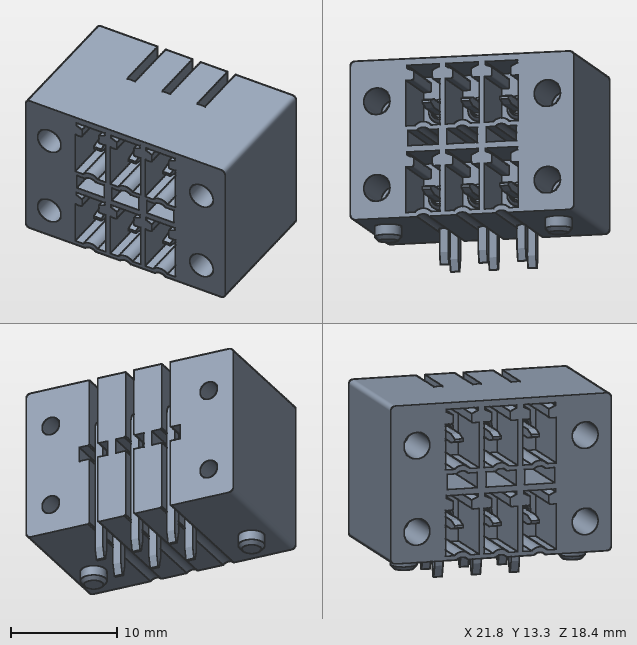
import cadquery as cq
import math


housing_width = 21.82
housing_depth = 13.3
housing_height = 15.2
corner_radius = 0.48

columns = 3
pitch = 3.82
row_spacing = 8.31
lower_row_z = 2.95
column_numbers = [i - (columns - 1) / 2 for i in range(columns)]
column_xs = [n * pitch for n in column_numbers]
row_zs = [lower_row_z, lower_row_z + row_spacing]

wall = 0.44
pocket_depth = 6.55
pocket_half_width = 1.65
pocket_floor = wall - lower_row_z
shoulder_height = 1.88
neck_half_width = 0.92
neck_top = 2.75
neck_round = 0.15
head_half_width = 1.57
head_bottom = 3.05
pocket_top = 3.32

rib_half_width = 0.79
rib_height = 0.35
groove_half_width = 0.57
groove_height = 0.25

boss_base_radius = 1.15
boss_shoulder_radius = 0.83
boss_top_radius = 0.65
boss_shoulder_height = 0.44
boss_height = 0.52

window_width = 2.97
window_height = 1.46
slot_width = 0.87
slot_depth = 5.7

mount_spacing = 16.63
mount_xs = [-mount_spacing / 2, mount_spacing / 2]
mount_hole_diameter = 1.81
mount_bore_diameter = 2.55
mount_bore_depth = pocket_depth

pin_size = 0.83
pin_pitch = 3.77
pin_tip_y = 1.25
pin_tip_size = 0.25
pin_taper = 1.13
pin_bend_radius = 1.22
tail_length = 3.19
upper_tail_setback = 1.1
lower_tail_setback = upper_tail_setback + pitch
tail_setbacks = [lower_tail_setback, upper_tail_setback]

peg_radius = 1.27
peg_height = 1.37
peg_chamfer_height = 0.4
peg_tip_radius = 0.92
peg_y = 4.2


def arched_strip(half_width, height, length, x, z):
    """A strip along Y with a flat underside at height z and an arched top."""
    return (
        cq.Workplane("XZ", origin=(x, 0, z))
        .moveTo(-half_width, 0)
        .threePointArc((0, height), (half_width, 0))
        .close()
        .extrude(-length)
    )


def make_boss(x, z):
    """A round boss on the pocket's back wall, tapering toward the mating face."""
    return (
        cq.Workplane("XY", origin=(x, pocket_depth, z))
        .polyline([
            (0, 0),
            (boss_base_radius, 0),
            (boss_shoulder_radius, -boss_shoulder_height),
            (boss_top_radius, -boss_height),
            (0, -boss_height),
        ])
        .close()
        .revolve(360, (0, 0, 0), (0, 1, 0))
    )


def make_pocket(x, z):
    """The space of one mating pocket, with a necked keyway on top, less its rib and boss."""
    round_offset = neck_round * (1 - math.sqrt(0.5))
    space = (
        cq.Workplane("XZ", origin=(x, 0, z))
        .moveTo(0, pocket_floor)
        .lineTo(pocket_half_width, pocket_floor)
        .lineTo(pocket_half_width, shoulder_height)
        .lineTo(neck_half_width + neck_round, shoulder_height)
        .threePointArc(
            (neck_half_width + round_offset, shoulder_height + round_offset),
            (neck_half_width, shoulder_height + neck_round),
        )
        .lineTo(neck_half_width, neck_top)
        .lineTo(head_half_width, head_bottom)
        .lineTo(head_half_width, pocket_top)
        .lineTo(0, pocket_top)
        .mirrorY()
        .extrude(-pocket_depth)
    )
    rib = arched_strip(rib_half_width, rib_height, pocket_depth, x, z + pocket_floor)
    return space.cut(rib).cut(make_boss(x, z))


def make_window(x, top_z):
    """A rectangular passage from front to back below an upper pocket."""
    return cq.Workplane("XY").box(
        window_width, housing_depth, window_height, centered=(True, False, False)
    ).translate((x, 0, top_z - window_height))


def make_slot(x):
    """A full-height slot, open to the rear, for the pin tails of one column."""
    return cq.Workplane("XY").box(
        slot_width, slot_depth, housing_height, centered=(True, False, False)
    ).translate((x, housing_depth - slot_depth, 0))


def make_mount_hole(x, z):
    """A through hole with a wider bore from the mating face."""
    axis = cq.Workplane("XZ", origin=(x, 0, z))
    through = axis.circle(mount_hole_diameter / 2).extrude(-housing_depth)
    bore = axis.circle(mount_bore_diameter / 2).extrude(-mount_bore_depth)
    return through.union(bore)


def make_pin(x, row_z, tail_setback):
    """A square pin, tapered at both ends, bent down from its row axis to the tail."""
    half = pin_size / 2
    tip_half = pin_tip_size / 2
    top = row_z + half
    bottom = row_z - half
    back = housing_depth - tail_setback
    front = back - pin_size
    tail_y = back - half
    bend_y = back - pin_bend_radius
    bend_z = top - pin_bend_radius
    inner_radius = pin_bend_radius - pin_size
    diagonal = math.sqrt(0.5)
    outline = (
        cq.Workplane("YZ", origin=(x - half, 0, 0))
        .moveTo(pin_tip_y, row_z - tip_half)
        .lineTo(pin_tip_y, row_z + tip_half)
        .lineTo(pin_tip_y + pin_taper, top)
        .lineTo(bend_y, top)
        .threePointArc(
            (bend_y + pin_bend_radius * diagonal, bend_z + pin_bend_radius * diagonal),
            (back, bend_z),
        )
        .lineTo(back, pin_taper - tail_length)
        .lineTo(tail_y + tip_half, -tail_length)
        .lineTo(tail_y - tip_half, -tail_length)
        .lineTo(front, pin_taper - tail_length)
        .lineTo(front, bend_z)
        .threePointArc(
            (bend_y + inner_radius * diagonal, bend_z + inner_radius * diagonal),
            (bend_y, bottom),
        )
        .lineTo(pin_tip_y + pin_taper, bottom)
        .close()
    )
    return outline.extrude(pin_size)


def make_peg(x):
    """A round locating peg under the housing with a chamfered lower end."""
    return (
        cq.Workplane("XZ", origin=(x, peg_y, 0))
        .polyline([
            (0, 0),
            (peg_radius, 0),
            (peg_radius, peg_chamfer_height - peg_height),
            (peg_tip_radius, -peg_height),
            (0, -peg_height),
        ])
        .close()
        .revolve(360, (0, 0, 0), (0, 1, 0))
    )


def make_housing(pins):
    """The housing block with its pockets, passages and a fitting hole for every pin."""
    body = (
        cq.Workplane("XY")
        .box(housing_width, housing_depth, housing_height, centered=(True, False, False))
        .edges("|Y")
        .fillet(corner_radius)
    )
    wall_undersides = [z - lower_row_z for z in row_zs]
    for x in column_xs:
        body = body.cut(make_slot(x))
        body = body.cut(make_window(x, wall_undersides[-1]))
        for row_z, underside_z in zip(row_zs, wall_undersides):
            body = body.cut(make_pocket(x, row_z))
            body = body.cut(arched_strip(groove_half_width, groove_height, housing_depth, x, underside_z))
    for x in mount_xs:
        for row_z in row_zs:
            body = body.cut(make_mount_hole(x, row_z))
    for pin in pins:
        body = body.cut(pin)
    return body.solids()


pins = [
    make_pin(n * pin_pitch, row_z, setback)
    for row_z, setback in zip(row_zs, tail_setbacks)
    for n in column_numbers
]
pegs = [make_peg(x) for x in mount_xs]
housing = make_housing(pins)

result = cq.Compound.makeCompound([
    housing.val(),
    *[pin.val() for pin in pins],
    *[peg.val() for peg in pegs],
])